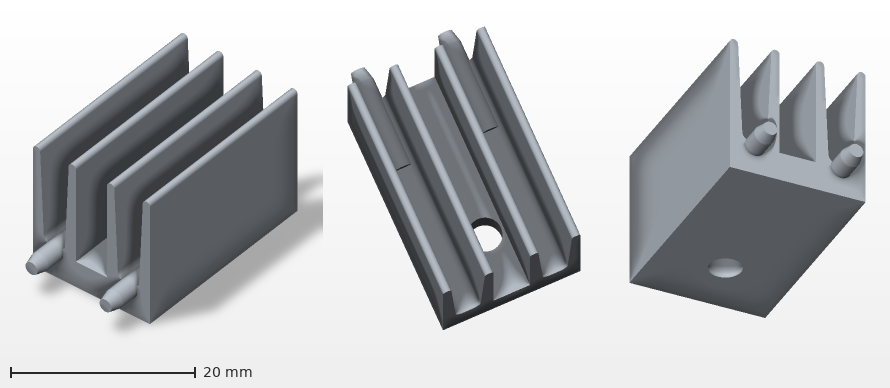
import cadquery as cq

overall_length = 29.35
body_width = 16.27
body_length = 25.4
body_height = 16.65
base_thickness = 3.5
fin_tip_width = 1.0
fin_tip_radius = fin_tip_width / 2

center_channel_width = 4.35
side_channel_floor = 4.0
side_channel_floor_width = 2.88
side_channel_fillet = 1.0

hole_diameter = 3.8
hole_to_rear_face = 7.1

pin_radius = 1.2
pin_tip_radius = 0.82
pin_tip_length = 1.5
pin_protrusion = overall_length - body_length
pin_embedded_length = 8.02

half_width = body_width / 2
half_center_channel = center_channel_width / 2
side_channel_x = (half_width + half_center_channel) / 2
side_channel_top_width = half_width - half_center_channel - 2 * fin_tip_width
fin_shoulder = body_height - fin_tip_radius


def make_center_channel():
    depth = body_height - base_thickness
    return (
        cq.Workplane("XY", origin=(0, 0, base_thickness))
        .rect(center_channel_width, 2 * body_length)
        .extrude(depth)
    )


def make_side_channel(center_x):
    """Tapered channel with rounded floor corners, widening into the round fin tips."""
    half_floor = side_channel_floor_width / 2
    half_top = side_channel_top_width / 2
    channel = (
        cq.Workplane("XZ", origin=(center_x, body_length, 0))
        .moveTo(-half_floor, side_channel_floor)
        .lineTo(half_floor, side_channel_floor)
        .lineTo(half_top, fin_shoulder)
        .lineTo(half_top, body_height)
        .lineTo(-half_top, body_height)
        .lineTo(-half_top, fin_shoulder)
        .close()
        .extrude(body_length)
    )
    margin = 0.3
    floor_corners = cq.selectors.BoxSelector(
        (center_x - half_floor - margin, -margin, side_channel_floor - margin),
        (center_x + half_floor + margin, body_length + margin, side_channel_floor + margin),
    )
    return channel.edges("|Y").edges(floor_corners).fillet(side_channel_fillet)


def round_fin_tip(body, center_x):
    """Replace the square end of one fin with a half-round."""
    square_end = (
        cq.Workplane("XY", origin=(center_x, body_length / 2, fin_shoulder))
        .rect(fin_tip_width, body_length)
        .extrude(fin_tip_radius)
    )
    round_end = (
        cq.Workplane("XZ", origin=(center_x, body_length, fin_shoulder))
        .circle(fin_tip_radius)
        .extrude(body_length)
    )
    return body.cut(square_end.cut(round_end))


def make_pin(center_x):
    """Round pin with a conical tip, revolved about its own axis along Y."""
    return (
        cq.Workplane("XY", origin=(center_x, 0, base_thickness))
        .moveTo(0, pin_embedded_length)
        .lineTo(pin_radius, pin_embedded_length)
        .lineTo(pin_radius, pin_tip_length - pin_protrusion)
        .lineTo(pin_tip_radius, -pin_protrusion)
        .lineTo(0, -pin_protrusion)
        .close()
        .revolve(360, (0, 0, 0), (0, 1, 0))
    )


body = cq.Workplane("XY").box(body_width, body_length, body_height, centered=(True, False, False))
body = body.cut(make_center_channel())

for side in (-1, 1):
    body = body.cut(make_side_channel(side * side_channel_x))

outer_fin_x = half_width - fin_tip_radius
inner_fin_x = half_center_channel + fin_tip_radius
for fin_x in (-outer_fin_x, -inner_fin_x, inner_fin_x, outer_fin_x):
    body = round_fin_tip(body, fin_x)

mounting_hole = (
    cq.Workplane("XY", origin=(0, body_length - hole_to_rear_face, 0))
    .circle(hole_diameter / 2)
    .extrude(base_thickness)
)
body = body.cut(mounting_hole)

for side in (-1, 1):
    body = body.union(make_pin(side * side_channel_x))

result = body